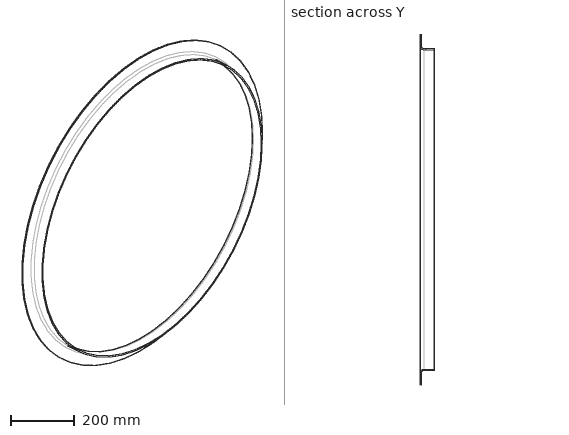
import cadquery as cq
import math

flange_diameter = 1105.0
bore_diameter = 1005.0
collar_diameter = 1015.0
ring_width = 45.0
bend_outer_radius = 12.0

sheet_thickness = (collar_diameter - bore_diameter) / 2
bend_inner_radius = bend_outer_radius - sheet_thickness
flange_radius = flange_diameter / 2
bore_radius = bore_diameter / 2
collar_radius = collar_diameter / 2

bend_center_x = bend_outer_radius
bend_center_y = bore_radius + bend_outer_radius


def bend_middle(radius):
    """Point halfway along a quarter-circle bend, on the side facing the flange and the bore."""
    offset = radius * math.sqrt(0.5)
    return (bend_center_x - offset, bend_center_y - offset)


section = (
    cq.Workplane("XY")
    .moveTo(0, flange_radius)
    .lineTo(0, bend_center_y)
    .threePointArc(bend_middle(bend_outer_radius), (bend_center_x, bore_radius))
    .lineTo(ring_width, bore_radius)
    .lineTo(ring_width, collar_radius)
    .lineTo(bend_center_x, collar_radius)
    .threePointArc(bend_middle(bend_inner_radius), (sheet_thickness, bend_center_y))
    .lineTo(sheet_thickness, flange_radius)
    .close()
)

result = section.revolve(360, (0, 0, 0), (1, 0, 0))